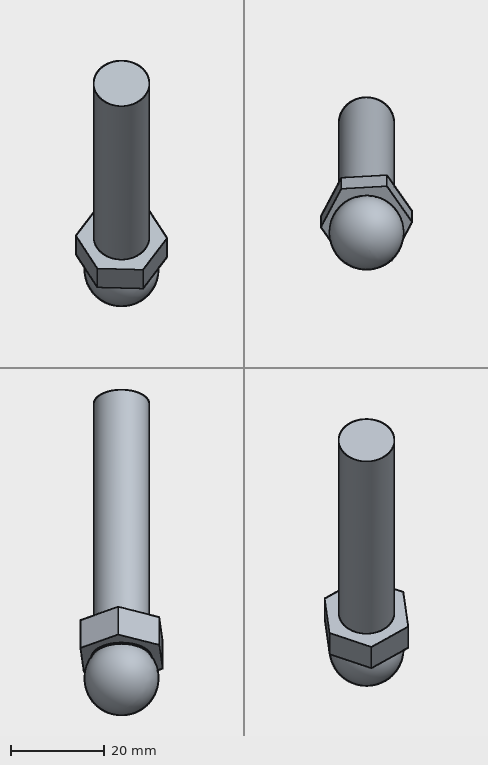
import cadquery as cq
import math

total_length = 77.0
rod_diameter = 12.0
ball_diameter = 16.0
hex_across_flats = 17.0
hex_height = 7.0
hex_bottom = 13.0
neck_length = 0.4

ball_radius = ball_diameter / 2
hex_top = hex_bottom + hex_height
hex_across_corners = hex_across_flats / math.cos(math.pi / 6)
neck_bottom = hex_bottom - neck_length
neck_radius = math.sqrt(ball_radius**2 - (neck_bottom - ball_radius) ** 2)


def make_ball_and_neck():
    """Ball cut off where its surface meets the cylindrical neck."""
    profile = (
        cq.Workplane("XZ")
        .moveTo(0, 0)
        .threePointArc((ball_radius, ball_radius), (neck_radius, neck_bottom))
        .lineTo(neck_radius, hex_bottom)
        .lineTo(0, hex_bottom)
        .close()
    )
    return profile.revolve(360, (0, 0, 0), (0, 1, 0))


def make_hexagon():
    """Wrench hexagon with two corners on the X axis."""
    base = cq.Workplane("XY").workplane(offset=hex_bottom)
    return base.polygon(6, hex_across_corners).extrude(hex_height)


def make_rod():
    base = cq.Workplane("XY").workplane(offset=hex_top)
    return base.circle(rod_diameter / 2).extrude(total_length - hex_top)


result = make_ball_and_neck().union(make_hexagon()).union(make_rod())